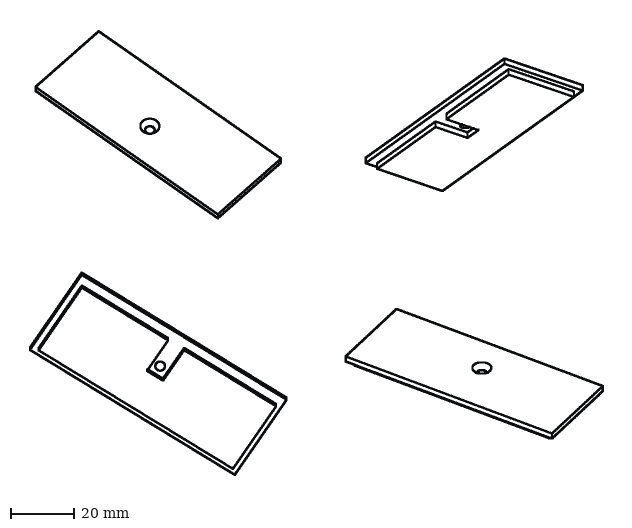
import cadquery as cq

plate_length = 77.0
plate_width = 30.0
plate_thickness = 2.0

step_height = 2.0
step_inset = 2.0
front_inset = 3.0

hole_x = -1.1
hole_y = -2.8
hole_diameter = 3.0
head_diameter = 2 * hole_diameter
countersink_depth = 1.9

notch_width = head_diameter

top_z = step_height + plate_thickness
step_front_y = -plate_width / 2 + front_inset
step_back_y = plate_width / 2 - step_inset
notch_back_y = hole_y + notch_width / 2


def block(length, front_y, back_y, bottom_z, height, center_x=0.0):
    """Box centred on center_x, running from front_y to back_y."""
    corner = (center_x - length / 2, front_y, bottom_z)
    return cq.Workplane("XY").box(length, back_y - front_y, height, centered=False).translate(corner)


def screw_hole():
    """Cutter: straight bore through the plate with a conical head seat at the top."""
    bore = cq.Workplane("XY").circle(hole_diameter / 2).extrude(top_z)
    seat = (
        cq.Workplane("XY", origin=(0, 0, top_z - countersink_depth))
        .circle(hole_diameter / 2)
        .workplane(offset=countersink_depth)
        .circle(head_diameter / 2)
        .loft(ruled=True)
    )
    return bore.union(seat).translate((hole_x, hole_y, 0))


plate = block(plate_length, -plate_width / 2, plate_width / 2, step_height, plate_thickness)
step = block(plate_length - 2 * step_inset, step_front_y, step_back_y, 0, step_height)
notch = block(notch_width, step_front_y, notch_back_y, 0, step_height, hole_x)

result = plate.union(step.cut(notch)).cut(screw_hole())